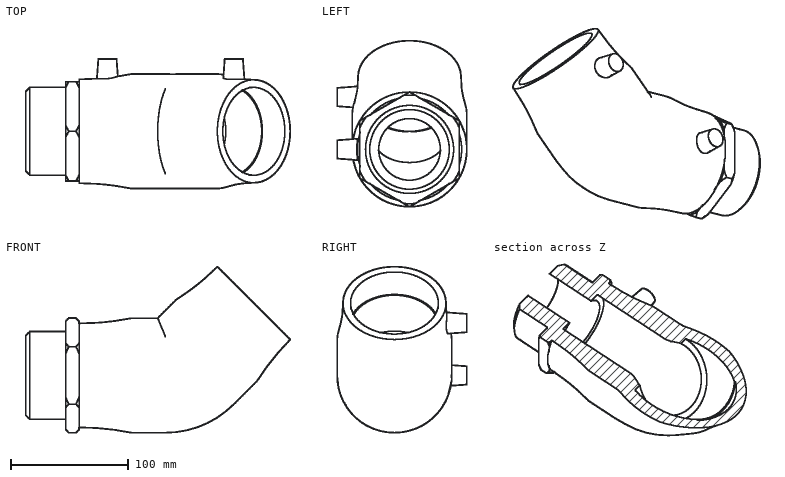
import cadquery as cq
import math

bend_angle = 45.0
angle = math.radians(bend_angle)
overall_length = 226.0
body_radius = 98.0 / 2
end_radius = 44.0
nut_side_radius = 44.5
cylinder_length = 29.0
taper_length = 44.7
leg_length = cylinder_length + taper_length

thread_radius = 75.3 / 2
thread_chamfer = 3.6
nut_start = 34.1
nut_width = 11.5
nut_corner_diameter = 98.0
nut_chamfer = 2.7
nut_end = nut_start + nut_width
bend_start = nut_end + leg_length
bend_radius = (overall_length - bend_start - leg_length * math.cos(angle)) / math.sin(angle) - end_radius

thread_bore_radius = 52.7 / 2
bend_bore_radius = 63.7 / 2
socket_radius = 75.0 / 2
socket_depth = 71.5
groove_radius = 38.5
groove_start = 19.7
groove_end = 28.0

pin_base_radius = 9.5
pin_tip_radius = 8.0
pin_base_y = 40.7
pin_tip_y = 62.0
first_pin_x = 69.8
second_pin_from_mouth = 24.2

leg_start = (
    bend_start + bend_radius * math.sin(angle),
    0,
    bend_radius * (1 - math.cos(angle)),
)
leg_direction = (math.cos(angle), 0, math.sin(angle))
leg_plane = cq.Plane(
    origin=leg_start, xDir=(math.sin(angle), 0, -math.cos(angle)), normal=(0, -1, 0)
)
straight_plane = cq.Plane(origin=(bend_start, 0, 0), xDir=(0, 0, -1), normal=(0, 1, 0))


def point_on_leg(distance):
    return tuple(s + distance * d for s, d in zip(leg_start, leg_direction))


def cylinder_x(radius, start, end):
    return cq.Workplane("YZ", origin=(start, 0, 0)).circle(radius).extrude(end - start)


def leg_body(plane, narrow_radius):
    """Cylinder next to the bend, then a concave taper that ends parallel to the axis."""
    rise = body_radius - narrow_radius
    arc_radius = (taper_length**2 + rise**2) / (2 * rise)
    half_sweep = math.asin(taper_length / arc_radius) / 2
    arc_middle = (
        narrow_radius + arc_radius * (1 - math.cos(half_sweep)),
        leg_length - arc_radius * math.sin(half_sweep),
    )
    return (
        cq.Workplane(plane)
        .lineTo(0, leg_length)
        .lineTo(narrow_radius, leg_length)
        .threePointArc(arc_middle, (body_radius, cylinder_length))
        .lineTo(body_radius, 0)
        .close()
        .revolve(360, (0, 0), (0, 1))
    )


def bend_body():
    """Revolve the part of the round section that lies outside the bend centre line."""
    side = body_radius * math.sin(math.pi / 4)
    half_chord = math.sqrt(body_radius**2 - bend_radius**2)
    return (
        cq.Workplane("YZ", origin=(bend_start, 0, 0))
        .moveTo(-half_chord, bend_radius)
        .threePointArc((-side, -side), (0, -body_radius))
        .threePointArc((side, -side), (half_chord, bend_radius))
        .close()
        .revolve(bend_angle, (2.3, bend_radius), (0, bend_radius))
    )


def bend_bore():
    return (
        cq.Workplane("YZ", origin=(bend_start, 0, 0))
        .circle(bend_bore_radius)
        .revolve(bend_angle, (2.3, bend_radius), (0, bend_radius))
    )


def leg_bore():
    """Short bend-size bore, then the wider socket with its ramped groove."""
    stop = leg_length - socket_depth
    return (
        cq.Workplane(leg_plane)
        .lineTo(bend_bore_radius, 0)
        .lineTo(bend_bore_radius, stop)
        .lineTo(socket_radius, stop)
        .lineTo(socket_radius, leg_length - groove_end)
        .lineTo(groove_radius, leg_length - groove_end)
        .lineTo(socket_radius, leg_length - groove_start)
        .lineTo(socket_radius, leg_length)
        .lineTo(0, leg_length)
        .close()
        .revolve(360, (0, 0), (0, 1))
    )


def hex_nut():
    """Hexagon with corners at +Z and -Z, all corners chamfered conically on both faces."""
    hexagon = (
        cq.Workplane("YZ", origin=(nut_start, 0, 0))
        .transformed(rotate=(0, 0, 90))
        .polygon(6, nut_corner_diameter)
        .extrude(nut_width)
    )
    envelope = cylinder_x(nut_corner_diameter / 2, nut_start, nut_end).edges().chamfer(nut_chamfer)
    return hexagon.intersect(envelope)


def terminal_pin(x, z):
    return cq.Workplane(
        cq.Solid.makeCone(
            pin_base_radius,
            pin_tip_radius,
            pin_tip_y - pin_base_y,
            cq.Vector(x, pin_base_y, z),
            cq.Vector(0, 1, 0),
        )
    )


thread = cylinder_x(thread_radius, 0, nut_start).faces("<X").chamfer(thread_chamfer)
second_pin_x, _, second_pin_z = point_on_leg(leg_length - second_pin_from_mouth)

body = (
    leg_body(straight_plane, nut_side_radius)
    .union(bend_body())
    .union(leg_body(leg_plane, end_radius))
    .union(hex_nut())
    .union(thread)
    .union(terminal_pin(first_pin_x, 0))
    .union(terminal_pin(second_pin_x, second_pin_z))
)

result = (
    body.cut(cylinder_x(thread_bore_radius, 0, nut_end))
    .cut(cylinder_x(bend_bore_radius, nut_end, bend_start))
    .cut(bend_bore())
    .cut(leg_bore())
)